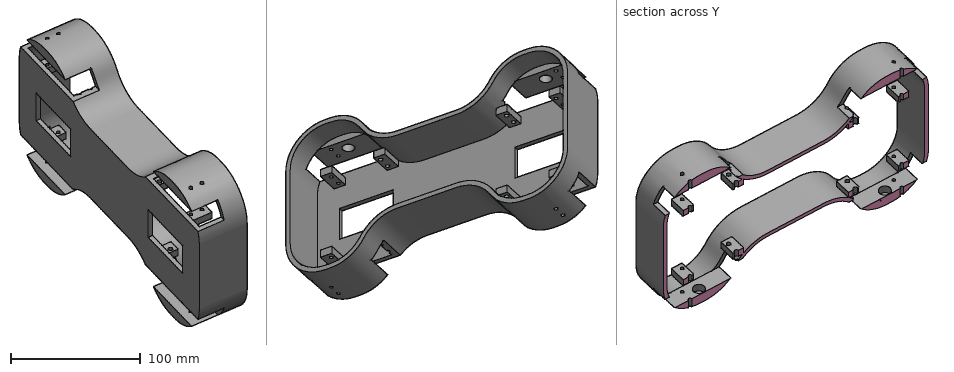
import cadquery as cq
import math

LENGTH = 256.0
DEPTH = 44.0
HEIGHT = 140.0
WALL = 4.0

LOBE_RADIUS = 35.8
LOBE_FLAT = 4.5
WAIST_HALF_LENGTH = 27.0
WAIST_HALF_HEIGHT = 36.0

SLOT_BOTTOM = 45.8
SLOT_TOP = 60.0
SLOT_DEPTH = 24.0

WINDOW_X = 79.5
WINDOW_LENGTH = 49.0
WINDOW_HEIGHT = 28.7
MOUNT_GAP = 38.0
MOUNT_BLOCK_LENGTH = 10.2
MOUNT_TOP = 41.0
MOUNT_HEIGHT = 6.7
SCREW_SPACING_X = 44.8
SCREW_SPACING_Y = 10.2
INNER_SCREW_DIAMETER = 3.5
OUTER_SCREW_DIAMETER = 2.8

HUB_X = 89.5
HUB_DIAMETER = 10.0
HUB_DEPTH = 7.2

half_length = LENGTH / 2
half_height = HEIGHT / 2
mount_y = (WALL + SLOT_DEPTH) / 2


def quarter_outline():
    """Solid of the +X +Z quarter of the outline, over the full depth."""
    lobe_z = half_height - LOBE_RADIUS
    outer_x = half_length - LOBE_RADIUS
    inner_x = outer_x - LOBE_FLAT
    run = inner_x - WAIST_HALF_LENGTH
    rise = WAIST_HALF_HEIGHT - lobe_z
    fillet = (run**2 + rise**2 - LOBE_RADIUS**2) / (2 * (LOBE_RADIUS - rise))
    fillet_z = WAIST_HALF_HEIGHT + fillet
    angle = math.atan2(fillet_z - lobe_z, -run)

    def lobe_point(centre_x, theta):
        return (centre_x + LOBE_RADIUS * math.cos(theta), lobe_z + LOBE_RADIUS * math.sin(theta))

    def fillet_point(theta):
        return (WAIST_HALF_LENGTH + fillet * math.cos(theta), fillet_z + fillet * math.sin(theta))

    fillet_start = angle - math.pi
    return (
        cq.Workplane("XZ")
        .lineTo(half_length, 0)
        .lineTo(half_length, lobe_z)
        .threePointArc(lobe_point(outer_x, math.pi / 4), (outer_x, half_height))
        .lineTo(inner_x, half_height)
        .threePointArc(lobe_point(inner_x, (math.pi / 2 + angle) / 2), lobe_point(inner_x, angle))
        .threePointArc(
            fillet_point((fillet_start - math.pi / 2) / 2),
            (WAIST_HALF_LENGTH, WAIST_HALF_HEIGHT),
        )
        .lineTo(0, WAIST_HALF_HEIGHT)
        .close()
        .extrude(-DEPTH)
    )


def mirrored(quarter):
    """Copy a +X +Z feature into all four quarters."""
    half = quarter.union(quarter.mirror("YZ"))
    return half.union(half.mirror("XY"))


def box(x, y, z):
    """Box spanning the given (low, high) ranges."""
    corner = (x[0], y[0], z[0])
    return cq.Workplane("XY", origin=corner).box(x[1] - x[0], y[1] - y[0], z[1] - z[0], centered=False)


def mount_block(x_low):
    """Block standing on the back of the front plate, as deep as the slots."""
    return box(
        (x_low, x_low + MOUNT_BLOCK_LENGTH),
        (WALL, SLOT_DEPTH),
        (MOUNT_TOP - MOUNT_HEIGHT, MOUNT_TOP),
    )


def screw_pair(x, diameter):
    """Two vertical screw holes, one behind the other, out through the lobe."""
    return (
        cq.Workplane("XY")
        .center(x, mount_y)
        .rarray(2.5, SCREW_SPACING_Y, 1, 2)
        .circle(diameter / 2)
        .extrude(half_height)
    )


outline = mirrored(quarter_outline()).clean()
body = outline.faces(">Y").shell(-WALL)

cap = box((0, half_length), (0, SLOT_DEPTH), (SLOT_TOP, half_height))
inner_block = mount_block(WINDOW_X - MOUNT_GAP / 2 - MOUNT_BLOCK_LENGTH)
outer_block = mount_block(WINDOW_X + MOUNT_GAP / 2)
fillings = mirrored(cap.union(inner_block).union(outer_block)).intersect(outline)
body = body.union(fillings)

slot = box((0, half_length), (0, SLOT_DEPTH), (SLOT_BOTTOM, SLOT_TOP))
window = box(
    (WINDOW_X - WINDOW_LENGTH / 2, WINDOW_X + WINDOW_LENGTH / 2), (0, WALL), (0, WINDOW_HEIGHT / 2)
)
inner_screws = screw_pair(WINDOW_X - SCREW_SPACING_X / 2, INNER_SCREW_DIAMETER)
outer_screws = screw_pair(WINDOW_X + SCREW_SPACING_X / 2, OUTER_SCREW_DIAMETER)
hub = cq.Workplane("XY", origin=(HUB_X, mount_y, SLOT_TOP)).circle(HUB_DIAMETER / 2).extrude(HUB_DEPTH)
for cutter in (slot, window, inner_screws, outer_screws, hub):
    body = body.cut(mirrored(cutter))

result = body